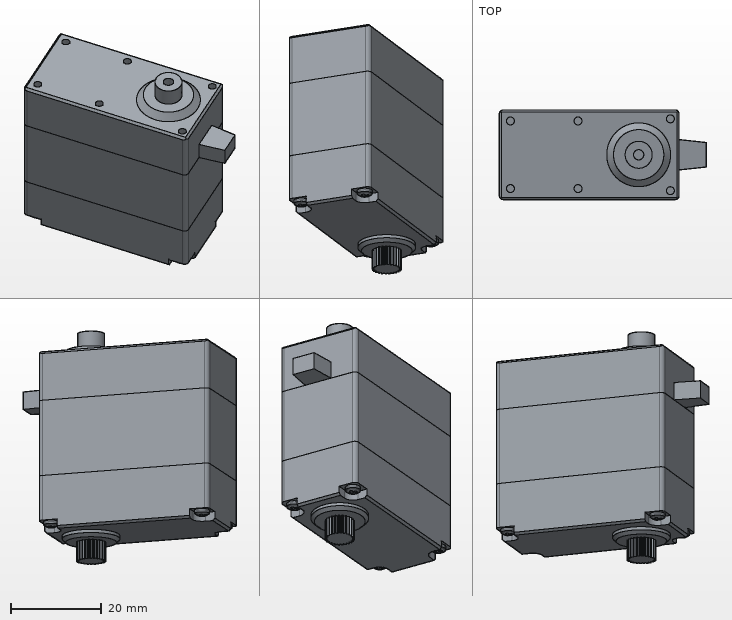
import cadquery as cq
import math


OVERALL_HEIGHT = 51.8

CASE_LENGTH = 40.0
CASE_WIDTH = 20.0
CASE_HEIGHT = 40.5
CORNER_RADIUS = 1.0
EDGE_CHAMFER = 0.5
LOWER_SPLIT_Z = 12.15
UPPER_SPLIT_Z = 29.3

SHAFT_X = 31.0
BOSS_TOP_RADIUS = 5.6
BOSS_HEIGHT = 1.5
BOSS_BASE_RADIUS = BOSS_TOP_RADIUS + BOSS_HEIGHT
STUB_RADIUS = 3.0
STUB_HEIGHT = 4.0
STUB_HOLE_RADIUS = 1.15
FLANGE_HEIGHT = 1.5
FLANGE_CHAMFER = 0.8
FLANGE_RADIUS = 6.4

MOUNT_HOLE_RADIUS = 0.9
MOUNT_HOLE_DEPTH = 5.0
WIDE_HOLE_X = 38.0
WIDE_HOLE_Y = 8.0
NARROW_HOLE_XS = (2.5, 17.5)
NARROW_HOLE_Y = 7.5

BOOT_LENGTH = 6.0
BOOT_HEIGHT = 4.0
BOOT_BASE_WIDTH = 6.8
BOOT_TIP_WIDTH = 5.5

SPLINE_TEETH = 25
SPLINE_TIP_RADIUS = 3.25
SPLINE_ROOT_RADIUS = 2.85
SPLINE_LAND_SHARE = 0.22
SPLINE_END_Z = -(OVERALL_HEIGHT - CASE_HEIGHT - BOSS_HEIGHT - STUB_HEIGHT)

POCKET_HEIGHT = 2.0
SCREW_INSET = 2.3
POCKET_RADIUS = 2.2
HEAD_RADIUS = 1.7
HEAD_TAPER_RADIUS = 1.65
HEAD_RIM_HEIGHT = 0.35
HEAD_TAPER_HEIGHT = 0.35
SHOULDER_HEIGHT = 0.15
DOME_RADIUS = 1.4
DOME_HEIGHT = 0.5
HEAD_HEIGHT = HEAD_RIM_HEIGHT + HEAD_TAPER_HEIGHT + SHOULDER_HEIGHT + DOME_HEIGHT
SLOT_WIDTH = 0.6
SLOT_DEPTH = 0.25


def case_block():
    """Whole case outline: round upright corners, chamfers around the top and bottom faces."""
    centred = (True, True, False)
    block = cq.Workplane().box(CASE_LENGTH, CASE_WIDTH, CASE_HEIGHT, centered=centred)
    rounded = block.edges("|Z").fillet(CORNER_RADIUS)
    chamfered = block.faces("<Z or >Z").chamfer(EDGE_CHAMFER)
    return rounded.intersect(chamfered).translate((CASE_LENGTH / 2, 0, 0))


def case_section(bottom_z, top_z):
    """The slice of the case between two heights."""
    slab = cq.Workplane(origin=(CASE_LENGTH / 2, 0, bottom_z)).box(
        CASE_LENGTH, CASE_WIDTH, top_z - bottom_z, centered=(True, True, False)
    )
    return case_block().intersect(slab)


def revolve_profile(points):
    """Solid of revolution about the Z axis from a (radius, z) outline."""
    return cq.Workplane("XZ").polyline(points).close().revolve(360, (0, 0), (0, 1))


def idler_stub():
    """Conical boss with a plain round stub on top."""
    boss_top_z = CASE_HEIGHT + BOSS_HEIGHT
    stub_top_z = boss_top_z + STUB_HEIGHT
    profile = [
        (0, CASE_HEIGHT),
        (BOSS_BASE_RADIUS, CASE_HEIGHT),
        (BOSS_TOP_RADIUS, boss_top_z),
        (STUB_RADIUS, boss_top_z),
        (STUB_RADIUS, stub_top_z),
        (0, stub_top_z),
    ]
    stub_hole = cq.Workplane(origin=(0, 0, boss_top_z)).circle(STUB_HOLE_RADIUS).extrude(STUB_HEIGHT)
    return revolve_profile(profile).cut(stub_hole).translate((SHAFT_X, 0, 0))


def cable_boot():
    """Tapered block on the front end, level with the bottom of the upper section."""
    return (
        cq.Workplane(origin=(CASE_LENGTH, 0, UPPER_SPLIT_Z))
        .polyline(
            [
                (0, -BOOT_BASE_WIDTH / 2),
                (BOOT_LENGTH, -BOOT_TIP_WIDTH / 2),
                (BOOT_LENGTH, BOOT_TIP_WIDTH / 2),
                (0, BOOT_BASE_WIDTH / 2),
            ]
        )
        .close()
        .extrude(BOOT_HEIGHT)
    )


def mount_holes():
    """Blind holes in the top face."""
    places = [(WIDE_HOLE_X, side * WIDE_HOLE_Y) for side in (-1, 1)]
    places += [(x, side * NARROW_HOLE_Y) for x in NARROW_HOLE_XS for side in (-1, 1)]
    return (
        cq.Workplane(origin=(0, 0, CASE_HEIGHT))
        .pushPoints(places)
        .circle(MOUNT_HOLE_RADIUS)
        .extrude(-MOUNT_HOLE_DEPTH)
    )


def make_upper_case():
    section = case_section(UPPER_SPLIT_Z, CASE_HEIGHT)
    return section.union(idler_stub()).union(cable_boot()).cut(mount_holes())


def make_middle_case():
    return case_section(LOWER_SPLIT_Z, UPPER_SPLIT_Z)


def screw_places():
    """Screw axes as (x, y, direction out of the case in x, direction out of the case in y)."""
    ends = ((SCREW_INSET, -1), (CASE_LENGTH - SCREW_INSET, 1))
    half_span = CASE_WIDTH / 2 - SCREW_INSET
    return [(x, side * half_span, end, side) for x, end in ends for side in (-1, 1)]


def corner_pocket(x, y, out_x, out_y):
    """Open corner recess with a rounded inner corner around one screw."""
    side = SCREW_INSET + POCKET_RADIUS
    shift = SCREW_INSET - side / 2
    block = cq.Workplane(origin=(x + out_x * shift, y + out_y * shift, 0)).box(
        side, side, POCKET_HEIGHT, centered=(True, True, False)
    )
    inner_x = "<X" if out_x > 0 else ">X"
    inner_y = "<Y" if out_y > 0 else ">Y"
    return block.faces(inner_x).edges(inner_y).fillet(POCKET_RADIUS)


def output_flange():
    """Round flange under the case with a chamfered lower edge."""
    return revolve_profile(
        [
            (0, 0),
            (FLANGE_RADIUS, 0),
            (FLANGE_RADIUS, FLANGE_CHAMFER - FLANGE_HEIGHT),
            (FLANGE_RADIUS - FLANGE_CHAMFER, -FLANGE_HEIGHT),
            (0, -FLANGE_HEIGHT),
        ]
    ).translate((SHAFT_X, 0, 0))


def make_lower_case():
    case = case_section(0, LOWER_SPLIT_Z)
    for place in screw_places():
        case = case.cut(corner_pocket(*place))
    return case.union(output_flange())


def polar_point(radius, angle):
    return (radius * math.cos(angle), radius * math.sin(angle))


def make_output_shaft():
    """Splined shaft with flat-topped teeth, set against the flange."""
    pitch = 2 * math.pi / SPLINE_TEETH
    half_land = SPLINE_LAND_SHARE * pitch / 2
    outline = []
    for tooth in range(SPLINE_TEETH):
        root_angle = math.pi + tooth * pitch
        tip_angle = root_angle + pitch / 2
        outline += [
            polar_point(SPLINE_ROOT_RADIUS, root_angle - half_land),
            polar_point(SPLINE_ROOT_RADIUS, root_angle + half_land),
            polar_point(SPLINE_TIP_RADIUS, tip_angle - half_land),
            polar_point(SPLINE_TIP_RADIUS, tip_angle + half_land),
        ]
    return (
        cq.Workplane(origin=(SHAFT_X, 0, -FLANGE_HEIGHT))
        .polyline(outline)
        .close()
        .extrude(SPLINE_END_Z + FLANGE_HEIGHT)
    )


def make_screw(x, y):
    """Domed screw head with a cross slot, hanging from the pocket ceiling."""
    taper_end = HEAD_RIM_HEIGHT + HEAD_TAPER_HEIGHT
    dome_start = taper_end + SHOULDER_HEIGHT
    sphere_radius = (DOME_RADIUS**2 + DOME_HEIGHT**2) / (2 * DOME_HEIGHT)
    sphere_centre = HEAD_HEIGHT - sphere_radius
    middle_radius = DOME_RADIUS / 2
    middle_height = sphere_centre + math.sqrt(sphere_radius**2 - middle_radius**2)
    head = (
        cq.Workplane("XZ")
        .lineTo(HEAD_RADIUS, 0)
        .lineTo(HEAD_RADIUS, -HEAD_RIM_HEIGHT)
        .lineTo(HEAD_TAPER_RADIUS, -taper_end)
        .lineTo(DOME_RADIUS, -dome_start)
        .threePointArc((middle_radius, -middle_height), (0, -HEAD_HEIGHT))
        .close()
        .revolve(360, (0, 0), (0, 1))
    )
    slot_floor = SLOT_DEPTH - HEAD_HEIGHT
    for size in ((2 * HEAD_RADIUS, SLOT_WIDTH), (SLOT_WIDTH, 2 * HEAD_RADIUS)):
        head = head.cut(cq.Workplane(origin=(0, 0, slot_floor)).rect(*size).extrude(-SLOT_DEPTH))
    return head.translate((x, y, POCKET_HEIGHT))


upper_case = make_upper_case()
middle_case = make_middle_case()
lower_case = make_lower_case()
output_shaft = make_output_shaft()
screws = [make_screw(x, y) for x, y, _, _ in screw_places()]

result = cq.Compound.makeCompound(
    [
        upper_case.val(),
        middle_case.val(),
        lower_case.val(),
        output_shaft.val(),
        *[screw.val() for screw in screws],
    ]
)